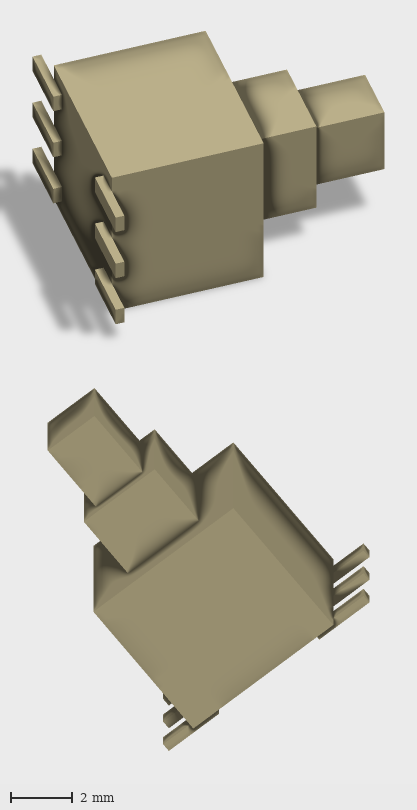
import cadquery as cq

HOUSING_SIDE = 5.8
HOUSING_DEPTH = 5.2

COLLAR_WIDTH = 2.94
COLLAR_HEIGHT = 3.52
COLLAR_LENGTH = 2.3

PLUNGER_WIDTH = 1.94
PLUNGER_HEIGHT = 2.46
PLUNGER_LENGTH = 2.5

LEAD_SPAN = 8.3
LEAD_LENGTH = 2.07
LEAD_THICKNESS = 0.3
LEAD_WIDTH = 0.63
LEAD_PITCH = 2.0


def block(width, length, height, start_y):
    """Box centred in X and Z that runs along +Y from start_y."""
    return cq.Workplane("XY").box(width, length, height, centered=(True, False, True)).translate((0, start_y, 0))


def make_housing():
    """Housing block and collar in one piece."""
    body = block(HOUSING_SIDE, HOUSING_DEPTH, HOUSING_SIDE, 0)
    collar = block(COLLAR_WIDTH, COLLAR_LENGTH, COLLAR_HEIGHT, HOUSING_DEPTH)
    return body.union(collar)


def make_plunger():
    """Button that meets the end face of the collar."""
    return block(PLUNGER_WIDTH, PLUNGER_LENGTH, PLUNGER_HEIGHT, HOUSING_DEPTH + COLLAR_LENGTH)


def make_lead(side, row):
    """Lead on the -X (side = -1) or +X (side = 1) column, row = 0 at mid height."""
    center_x = side * (LEAD_SPAN - LEAD_LENGTH) / 2
    lead = block(LEAD_LENGTH, LEAD_THICKNESS, LEAD_WIDTH, -LEAD_THICKNESS)
    return lead.translate((center_x, 0, row * LEAD_PITCH))


housing = make_housing()
plunger = make_plunger()
leads = [make_lead(side, row) for side in (-1, 1) for row in (-1, 0, 1)]

result = cq.Compound.makeCompound([housing.val(), plunger.val(), *[lead.val() for lead in leads]])